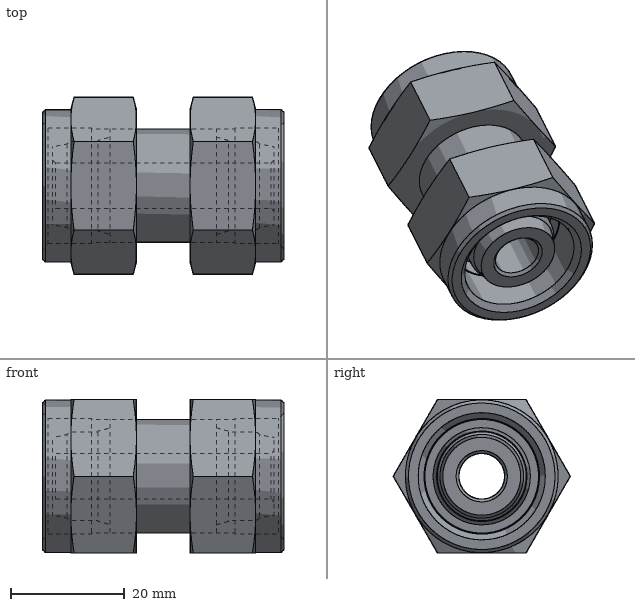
import cadquery as cq
import math

overall_length = 42.5
half_length = overall_length / 2

hex_sides = 6
across_flats = 27.0
nut_length = 16.55
collar_length = 5.0
collar_radius = 13.45
collar_chamfer = 0.55
hex_chamfer_angle = 15.0
mouth_radius = 11.18
mouth_chamfer = 1.0
mouth_bore_depth = 8.63

barrel_radius = 10.0
barrel_end_depth = 11.9
root_radius = 8.55
root_tip_radius = 7.95
root_cone_length = 2.12
nipple_radius = 7.8
nipple_rounding = 1.28
tip_base_radius = 7.35
tip_radius = 6.85
tip_length = 2.55
tip_depth = 1.8
bore_radius = 4.0
bore_chamfer = 0.5

flat_radius = across_flats / 2
corner_radius = flat_radius / math.cos(math.pi / hex_sides)
mouth_bore_radius = mouth_radius - mouth_chamfer
hex_chamfer_length = (corner_radius - flat_radius) * math.tan(math.radians(hex_chamfer_angle))


def revolve_about_x(outline):
    """Close an outline of (x, radius) points and revolve it once around the X axis."""
    return outline.close().revolve(360, (0, 0, 0), (1, 0, 0))


def make_hexagon(inner_x, outer_x):
    """Hexagonal prism with flats at top and bottom and its corners turned off at both ends."""
    hexagon = cq.Workplane("YZ", origin=(inner_x, 0, 0)).polygon(hex_sides, 2 * corner_radius)
    prism = hexagon.extrude(outer_x - inner_x)
    turned_envelope = revolve_about_x(
        cq.Workplane("XY")
        .moveTo(inner_x, 0)
        .lineTo(inner_x, flat_radius)
        .lineTo(inner_x + hex_chamfer_length, corner_radius)
        .lineTo(outer_x - hex_chamfer_length, corner_radius)
        .lineTo(outer_x, flat_radius)
        .lineTo(outer_x, 0)
    )
    return prism.intersect(turned_envelope)


def make_nut():
    """Nut at the +X end: hexagon and collar around a stepped bore with a flared mouth."""
    end_x = half_length
    inner_x = end_x - nut_length
    hex_end_x = end_x - collar_length
    step_x = end_x - mouth_bore_depth

    collar = cq.Workplane("YZ", origin=(hex_end_x, 0, 0)).circle(collar_radius).extrude(collar_length)
    collar = collar.faces(">X").chamfer(collar_chamfer)

    stepped_bore = revolve_about_x(
        cq.Workplane("XY")
        .moveTo(inner_x, 0)
        .lineTo(inner_x, barrel_radius)
        .lineTo(step_x, barrel_radius)
        .lineTo(step_x, mouth_bore_radius)
        .lineTo(end_x - mouth_chamfer, mouth_bore_radius)
        .lineTo(end_x, mouth_radius)
        .lineTo(end_x, 0)
    )
    return make_hexagon(inner_x, hex_end_x).union(collar).cut(stepped_bore)


def make_body():
    """Connector body: half outline from the nipple tip to the barrel end, mirrored about the middle."""
    barrel_end_x = half_length - barrel_end_depth
    root_tip_x = barrel_end_x + root_cone_length
    tip_x = half_length - tip_depth
    tip_base_x = tip_x - tip_length

    rounding_angle = math.acos(1 - (nipple_radius - tip_base_radius) / nipple_rounding)
    rounding_start_x = tip_base_x - nipple_rounding * math.sin(rounding_angle)
    rounding_middle_x = rounding_start_x + nipple_rounding * math.sin(rounding_angle / 2)
    rounding_middle_radius = nipple_radius - nipple_rounding * (1 - math.cos(rounding_angle / 2))

    return revolve_about_x(
        cq.Workplane("XY")
        .moveTo(-barrel_end_x, barrel_radius)
        .lineTo(barrel_end_x, barrel_radius)
        .lineTo(barrel_end_x, root_radius)
        .lineTo(root_tip_x, root_tip_radius)
        .lineTo(root_tip_x, nipple_radius)
        .lineTo(rounding_start_x, nipple_radius)
        .threePointArc((rounding_middle_x, rounding_middle_radius), (tip_base_x, tip_base_radius))
        .lineTo(tip_x, tip_radius)
        .lineTo(tip_x, bore_radius + bore_chamfer)
        .lineTo(tip_x - bore_chamfer, bore_radius)
        .lineTo(bore_chamfer - tip_x, bore_radius)
        .lineTo(-tip_x, bore_radius + bore_chamfer)
        .lineTo(-tip_x, tip_radius)
        .lineTo(-tip_base_x, tip_base_radius)
        .threePointArc((-rounding_middle_x, rounding_middle_radius), (-rounding_start_x, nipple_radius))
        .lineTo(-root_tip_x, nipple_radius)
        .lineTo(-root_tip_x, root_tip_radius)
        .lineTo(-barrel_end_x, root_radius)
    )


body = make_body()

nuts = []
for turn in (0, 180):
    nuts.append(make_nut().rotate((0, 0, 0), (0, 0, 1), turn))

result = cq.Compound.makeCompound([body.val(), *[nut.val() for nut in nuts]])